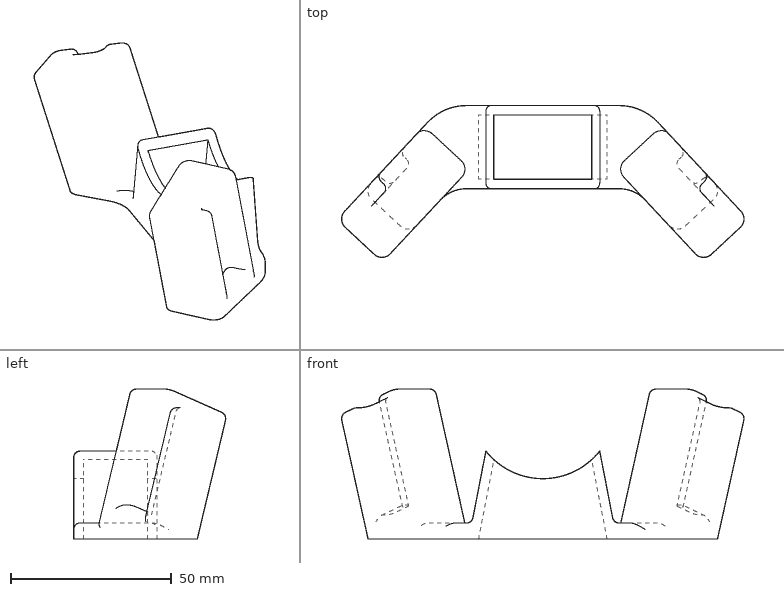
import cadquery as cq
import math

edge_fillet = 2.0

frame_depth = 26.0
wall = 3.0
saddle_base_half = 23.0
saddle_taper = math.radians(11.0)
saddle_height = 29.3
cradle_radius = 22.5
cradle_bottom = 18.8

arm_angle = 47.0
arm_thickness = 5.0
arm_width = 19.4
arm_back_corner = 31.0
bend_start = 23.8

lean_angle = 18.0
post_length = 28.0
post_height = 40.6
post_reach = 57.7
post_corner = 3.5

groove_width = 10.0
groove_depth = 5.0
groove_floor = 5.0
groove_corner = 2.0

ground_size = 376.0
ground_height = 125.3

tolerance = 0.01

arm_turn = math.radians(arm_angle)
arm_back = arm_back_corner * math.sin(arm_turn)
arm_front = arm_back - arm_width
arm_middle = arm_front + arm_width / 2
arm_front_corner = (arm_front + frame_depth * math.cos(arm_turn)) / math.sin(arm_turn)
arm_end = post_reach - 2 * post_corner


def arm_point(along, across):
    """Plan position of a point given along and across the right arm."""
    x = along * math.cos(arm_turn) + across * math.sin(arm_turn)
    y = across * math.cos(arm_turn) - along * math.sin(arm_turn)
    return x, y


def bend(corner_x, y):
    """Start, middle and end of the arc that turns a straight edge into the arm."""
    radius = (corner_x - bend_start) / math.tan(arm_turn / 2)

    def at(turn):
        return bend_start + radius * math.sin(turn), y - radius * (1 - math.cos(turn))

    return at(0), at(arm_turn / 2), at(arm_turn)


def make_arm():
    """Right half of the flat base, square-edged."""
    back_start, back_middle, back_end = bend(arm_back_corner, 0)
    front_start, front_middle, front_end = bend(arm_front_corner, -frame_depth)
    return (
        cq.Workplane("XY")
        .lineTo(*back_start)
        .threePointArc(back_middle, back_end)
        .lineTo(*arm_point(arm_end, arm_back))
        .lineTo(*arm_point(arm_end, arm_front))
        .lineTo(*front_end)
        .threePointArc(front_middle, front_start)
        .lineTo(0, -frame_depth)
        .close()
        .extrude(arm_thickness)
    )


def tapered_block(base_half, depth, y):
    """Block with sloping sides, as tall as the saddle, reaching from y towards -Y."""
    top_half = base_half - saddle_height * math.tan(saddle_taper)
    outline = [(-base_half, 0), (base_half, 0), (top_half, saddle_height), (-top_half, saddle_height)]
    return cq.Workplane("XZ", origin=(0, y, 0)).polyline(outline).close().extrude(depth)


def arm_top_edges(base):
    """Edges that lie in the upper face of the arms."""
    edges = base.faces("|Z").edges().vals()
    return [edge for edge in edges if abs(edge.Center().z - arm_thickness) < tolerance]


def make_base():
    """Both arms and the solid saddle, with coved saddle feet and rounded arm edges."""
    arm = make_arm()
    saddle = tapered_block(saddle_base_half, frame_depth, 0)
    base = arm.union(arm.mirror("YZ")).union(saddle)
    feet = [
        edge
        for edge in arm_top_edges(base)
        if abs(edge.Center().x) < bend_start and edge.Length() > frame_depth / 2
    ]
    base = base.newObject(feet).fillet(edge_fillet)
    end_x = arm_point(arm_end, arm_middle)[0]
    rims = [
        edge
        for edge in arm_top_edges(base)
        if abs(abs(edge.Center().x) - end_x) > tolerance
        and abs(edge.Center().y + frame_depth / 2) > tolerance
    ]
    return base.newObject(rims).fillet(edge_fillet)


def hollow_saddle(base):
    """Cut the cradle and the window through the saddle."""
    inset = wall / math.cos(saddle_taper)
    cradle = (
        cq.Workplane("XZ")
        .center(0, cradle_bottom + cradle_radius)
        .circle(cradle_radius)
        .extrude(frame_depth)
    )
    window = tapered_block(saddle_base_half - inset, frame_depth - 2 * wall, -wall)
    return base.cut(cradle).cut(window)


def make_post():
    """Right post: a rounded grooved block, leaned outwards and cut off at the ground."""
    root = post_length * math.tan(math.radians(lean_angle))
    block = (
        cq.Workplane("XY")
        .box(post_length, arm_width, post_height + root, centered=(True, True, False))
        .translate((-post_length / 2, 0, -root))
        .edges("|Z")
        .fillet(post_corner)
    )
    groove = (
        cq.Workplane("XY")
        .box(groove_width, 2 * groove_depth, post_height, centered=(True, True, False))
        .translate((-post_length / 2, arm_width / 2, groove_floor))
        .edges("|Z and <Y")
        .fillet(groove_corner)
    )
    block = block.cut(groove)
    back = arm_width / 2
    mouth = [
        edge
        for edge in block.edges().vals()
        if abs(edge.Center().y - back) < tolerance
        and abs(edge.Center().x + post_length / 2) < groove_width / 2 + tolerance
        and groove_floor - tolerance < edge.Center().z < post_height - tolerance
    ]
    block = block.newObject(mouth + block.faces(">Z").edges().vals()).fillet(edge_fillet)
    above_ground = cq.Workplane("XY").box(
        ground_size, ground_size, ground_height, centered=(True, True, False)
    )
    return (
        block.rotate((0, 0, 0), (0, 1, 0), lean_angle)
        .translate((post_reach, arm_middle, 0))
        .rotate((0, 0, 0), (0, 0, 1), -arm_angle)
        .intersect(above_ground)
    )


post = make_post()
result = hollow_saddle(make_base()).union(post).union(post.mirror("YZ"))